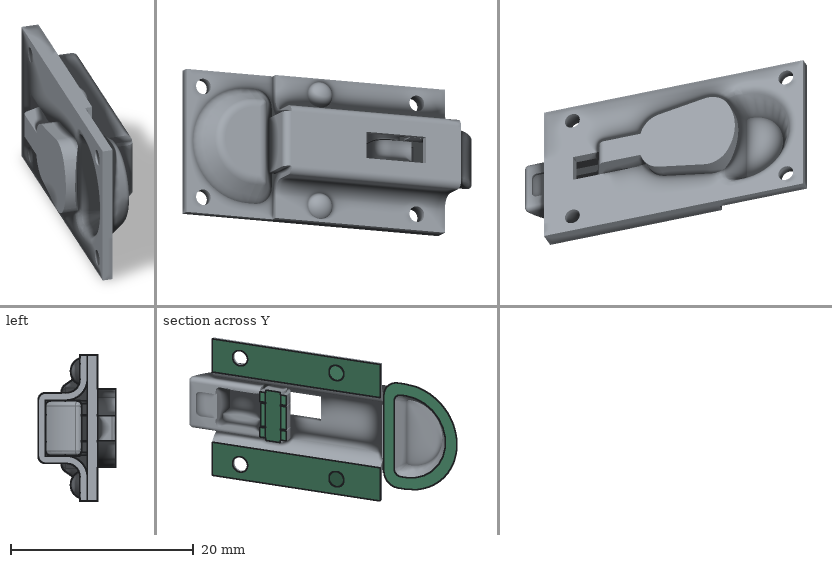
import cadquery as cq
import math


PLATE_LENGTH = 30.3
PLATE_HEIGHT = 16.0
PLATE_THICKNESS = 1.13
FIXING_HOLE_DIAMETER = 1.73
FIXING_HOLE_XS = (3.33, 28.27)
FASTENER_Z = 6.2
SLOT_LEFT = 3.4
SLOT_RIGHT = 11.2
SLOT_HALF_HEIGHT = 1.45

CUP_CENTRE_X = 23.08
CUP_RIM_RADIUS = 6.43
CUP_LEFT = 20.18
CUP_CORNER_RADIUS = 2.03
CUP_DEPTH = 2.85
CUP_WALL_ANGLE = 35.0
CUP_FLOOR_RADIUS = 3.8
CUP_FLOOR_LEFT = 22.68
CUP_FLOOR_CORNER_RADIUS = 0.23

SHEET = 0.8
BRACKET_LENGTH = 20.08
BRACKET_BACK = 6.5
CHANNEL_HALF_HEIGHT = 3.85
FLANGE_BEND_RADIUS = 1.45
BRACKET_WINDOW_LEFT = 4.15
TAB_BEND_RADIUS = 0.75

BOLT_FRONT = 1.73
BOLT_BACK = 5.65
BOLT_HALF_HEIGHT = 2.95
BOLT_RIGHT = 5.6
BOLT_TIP_X = -3.23
BOLT_CURVE_END_X = -0.05
BOLT_NOSE_MIDDLE = (-1.73, 4.3)
BOLT_EDGE_RADIUS = 0.5
BOLT_POCKET_LEFT = -2.03
BOLT_POCKET_DEPTH = 0.3
BOLT_RECESS_LEFT = 0.33
BOLT_RECESS_HALF_HEIGHT = 2.33
BOLT_RECESS_FLOOR = 3.65

LEVER_THICKNESS = 2.0
ARM_HALF_HEIGHT = 1.35
ARM_FACE_X = 6.43
ARM_FACE_ANGLE = 22.7
ARM_EDGE_RADIUS = 0.7
SHOULDER_X = 12.05
SHOULDER_RADIUS = 2.7
FLANK_START = (14.1, 3.35)
FLANK_END = (19.48, 4.25)
HEAD_CORNER_END = (22.18, 3.05)
HEAD_END_X = 23.08
HEAD_RELIEF_X = 21.1
HEAD_RELIEF_DEPTH = 0.93
HUB_RADIUS = 1.6

PIN_X = 7.25
PIN_RADIUS = 1.2
PIN_HALF_LENGTH = 2.95
LUG_OUTER_Z = 2.65

RIVET_X = 14.82
RIVET_DIAMETER = 1.7
RIVET_HEAD_RADIUS = 1.45
RIVET_HEAD_HEIGHT = 1.03

PLATE_BACK = PLATE_THICKNESS
FLANGE_BACK = PLATE_BACK + SHEET
CHANNEL_BACK = BRACKET_BACK - SHEET
PIN_Y = PLATE_BACK + PIN_RADIUS


def facing_back(y):
    """Workplane at depth y whose normal points to +Y."""
    return cq.Workplane(cq.Plane(origin=(0, y, 0), xDir=(1, 0, 0), normal=(0, 1, 0)))


def block(x_range, y_range, z_range):
    """Axis-aligned box between the given limits."""
    sizes = [high - low for low, high in (x_range, y_range, z_range)]
    lows = (x_range[0], y_range[0], z_range[0])
    return cq.Workplane("XY").box(*sizes, centered=False).translate(lows)


def bar_along_z(x, y, radius, half_length):
    """Round bar along Z, centred on Z = 0."""
    return cq.Workplane("XY").center(x, y).circle(radius).extrude(half_length, both=True)


def cup_outline(y, left, radius, corner):
    """D-shaped wire at depth y: half a circle on the right, two rounded corners on the left."""
    mitre = corner * (1 - math.sqrt(0.5))
    return (
        facing_back(y)
        .moveTo(CUP_CENTRE_X, -radius)
        .threePointArc((CUP_CENTRE_X + radius, 0), (CUP_CENTRE_X, radius))
        .lineTo(left + corner, radius)
        .threePointArc((left + mitre, radius - mitre), (left, radius - corner))
        .lineTo(left, corner - radius)
        .threePointArc((left + mitre, mitre - radius), (left + corner, -radius))
        .close()
        .wire()
        .val()
    )


def tapered_cup(y_start, start, y_end, end):
    """Solid with straight sloping walls between two cup outlines."""
    wires = [cup_outline(y_start, *start), cup_outline(y_end, *end)]
    return cq.Workplane(cq.Solid.makeLoft(wires, True))


def make_cup_shell():
    """Outside of the finger cup, behind the plate."""
    inset = CUP_DEPTH * math.tan(math.radians(CUP_WALL_ANGLE))
    base = (CUP_LEFT, CUP_RIM_RADIUS, CUP_CORNER_RADIUS)
    top = (CUP_LEFT + inset, CUP_RIM_RADIUS - inset, CUP_CORNER_RADIUS - inset)
    shell = tapered_cup(PLATE_BACK, base, PLATE_BACK + CUP_DEPTH, top)
    return shell.faces(">Y").edges().fillet(PLATE_THICKNESS)


def make_cup_cavity():
    """Hollow of the finger cup, from the plate's front face to the cup floor."""
    spread = CUP_DEPTH * math.tan(math.radians(CUP_WALL_ANGLE))
    lip = CUP_RIM_RADIUS - CUP_FLOOR_RADIUS - spread
    mouth = (CUP_FLOOR_LEFT - spread, CUP_FLOOR_RADIUS + spread, CUP_CORNER_RADIUS - lip)
    floor = (CUP_FLOOR_LEFT, CUP_FLOOR_RADIUS, CUP_FLOOR_CORNER_RADIUS)
    return tapered_cup(0, mouth, CUP_DEPTH, floor)


def make_lugs():
    """Two round-topped lugs on the back of the plate, one on each side of the lever."""
    lugs = bar_along_z(PIN_X, PIN_Y, HUB_RADIUS, LUG_OUTER_Z)
    lugs = lugs.union(
        block(
            (PIN_X - HUB_RADIUS, PIN_X + HUB_RADIUS),
            (PLATE_BACK, PIN_Y),
            (-LUG_OUTER_Z, LUG_OUTER_Z),
        )
    )
    return lugs.intersect(
        block((0, PLATE_LENGTH), (PLATE_BACK, BRACKET_BACK), (-PLATE_HEIGHT, PLATE_HEIGHT))
    )


def make_plate():
    """Face plate with its finger cup, slot, fixing holes and lugs."""
    plate = block((0, PLATE_LENGTH), (0, PLATE_THICKNESS), (-PLATE_HEIGHT / 2, PLATE_HEIGHT / 2))
    plate = plate.union(make_cup_shell()).cut(make_cup_cavity())
    lip_box = cq.selectors.BoxSelector(
        (CUP_LEFT - 0.33, -0.03, -CUP_RIM_RADIUS - 0.33),
        (CUP_CENTRE_X + CUP_RIM_RADIUS + 0.33, 0.03, CUP_RIM_RADIUS + 0.33),
    )
    plate = plate.edges(lip_box).fillet(PLATE_THICKNESS)
    plate = plate.union(make_lugs())
    plate = plate.cut(
        block((SLOT_LEFT, SLOT_RIGHT), (0, BRACKET_BACK), (-SLOT_HALF_HEIGHT, SLOT_HALF_HEIGHT))
    )
    fixing_points = [(x, z) for x in FIXING_HOLE_XS for z in (-FASTENER_Z, FASTENER_Z)]
    plate = plate.cut(
        facing_back(0).pushPoints(fixing_points).circle(FIXING_HOLE_DIAMETER / 2).extrude(PLATE_BACK)
    )
    plate = plate.cut(make_rivet_shanks())
    return plate.cut(make_pin())


def make_bracket(plate):
    """Top-hat channel with two flanges on the plate and a tab closing its right end."""
    arc_out = FLANGE_BEND_RADIUS * (1 - math.sqrt(0.5))
    big_bend = FLANGE_BEND_RADIUS + SHEET
    arc_in = big_bend * (1 - math.sqrt(0.5))
    inner = CHANNEL_HALF_HEIGHT - SHEET
    half = (
        cq.Workplane("YZ")
        .moveTo(BRACKET_BACK, 0)
        .lineTo(BRACKET_BACK, CHANNEL_HALF_HEIGHT - SHEET)
        .radiusArc((BRACKET_BACK - SHEET, CHANNEL_HALF_HEIGHT), -SHEET)
        .lineTo(FLANGE_BACK + FLANGE_BEND_RADIUS, CHANNEL_HALF_HEIGHT)
        .threePointArc(
            (FLANGE_BACK + arc_out, CHANNEL_HALF_HEIGHT + arc_out),
            (FLANGE_BACK, CHANNEL_HALF_HEIGHT + FLANGE_BEND_RADIUS),
        )
        .lineTo(FLANGE_BACK, PLATE_HEIGHT / 2)
        .lineTo(PLATE_BACK, PLATE_HEIGHT / 2)
        .lineTo(PLATE_BACK, inner + big_bend)
        .threePointArc((PLATE_BACK + arc_in, inner + arc_in), (PLATE_BACK + big_bend, inner))
        .lineTo(CHANNEL_BACK, inner)
        .lineTo(CHANNEL_BACK, 0)
        .close()
        .extrude(BRACKET_LENGTH)
    )
    bracket = half.union(half.mirror("XY"))
    tab = block((BRACKET_LENGTH, BRACKET_LENGTH + SHEET), (FLANGE_BACK, BRACKET_BACK), (-inner, inner))
    tab = tab.edges(">X and >Y").fillet(TAB_BEND_RADIUS)
    bracket = bracket.union(tab)
    bracket = bracket.cut(
        block(
            (BRACKET_WINDOW_LEFT, SLOT_RIGHT),
            (CHANNEL_BACK, BRACKET_BACK),
            (-SLOT_HALF_HEIGHT, SLOT_HALF_HEIGHT),
        )
    )
    fixing_points = [(FIXING_HOLE_XS[0], z) for z in (-FASTENER_Z, FASTENER_Z)]
    bracket = bracket.cut(
        facing_back(PLATE_BACK).pushPoints(fixing_points).circle(FIXING_HOLE_DIAMETER / 2).extrude(SHEET)
    )
    bracket = bracket.cut(make_rivet_shanks())
    return bracket.cut(plate)


def make_bolt():
    """Sliding bolt with a curved nose, a shallow front pocket and a recessed fork around the lever."""
    bolt = (
        cq.Workplane("XY")
        .workplane(offset=-BOLT_HALF_HEIGHT)
        .moveTo(BOLT_RIGHT, BOLT_FRONT)
        .lineTo(BOLT_TIP_X, BOLT_FRONT)
        .threePointArc(BOLT_NOSE_MIDDLE, (BOLT_CURVE_END_X, BOLT_BACK))
        .lineTo(BOLT_RIGHT, BOLT_BACK)
        .close()
        .extrude(2 * BOLT_HALF_HEIGHT)
    )
    bolt = bolt.edges("<X").fillet(BOLT_EDGE_RADIUS)
    bolt = bolt.faces("<Z or >Z").edges("not >X").fillet(BOLT_EDGE_RADIUS)
    pocket = block(
        (BOLT_POCKET_LEFT, BOLT_RECESS_LEFT),
        (BOLT_FRONT, BOLT_FRONT + BOLT_POCKET_DEPTH),
        (-SLOT_HALF_HEIGHT, SLOT_HALF_HEIGHT),
    )
    pocket = pocket.edges("|Y and <X").fillet(BOLT_EDGE_RADIUS)
    recess = block(
        (BOLT_RECESS_LEFT, BOLT_RIGHT),
        (BOLT_FRONT, BOLT_RECESS_FLOOR),
        (-BOLT_RECESS_HALF_HEIGHT, BOLT_RECESS_HALF_HEIGHT),
    )
    recess = recess.edges("|Y and <X").fillet(BOLT_EDGE_RADIUS)
    fork_slot = block(
        (BOLT_RECESS_LEFT, BOLT_RIGHT), (BOLT_FRONT, BOLT_BACK), (-SLOT_HALF_HEIGHT, SLOT_HALF_HEIGHT)
    )
    return bolt.cut(pocket).cut(recess).cut(fork_slot)


def make_lever_plan():
    """Keyhole outline of the lever, extruded through its whole depth."""
    arm_left = ARM_FACE_X - PIN_Y - HUB_RADIUS
    end_depth = HEAD_END_X - HEAD_CORNER_END[0]
    end_radius = (end_depth**2 + HEAD_CORNER_END[1] ** 2) / (2 * end_depth)
    half = (
        facing_back(-LEVER_THICKNESS)
        .moveTo(arm_left, 0)
        .lineTo(arm_left, ARM_HALF_HEIGHT)
        .lineTo(SHOULDER_X, ARM_HALF_HEIGHT)
        .radiusArc(FLANK_START, SHOULDER_RADIUS)
        .lineTo(*FLANK_END)
        .tangentArcPoint(HEAD_CORNER_END, relative=False)
        .radiusArc((HEAD_END_X, 0), end_radius)
        .close()
        .extrude(LEVER_THICKNESS + PIN_Y + HUB_RADIUS)
    )
    return half.union(half.mirror("XY"))


def make_lever():
    """Thumb lever: a head on the plate and an arm through the slot, pivoting on the pin."""
    slope = math.tan(math.radians(ARM_FACE_ANGLE))
    arm_back = PIN_Y + HUB_RADIUS
    half_arc = HUB_RADIUS * math.sqrt(0.5)
    side = (
        cq.Workplane("XY")
        .moveTo(ARM_FACE_X + slope * LEVER_THICKNESS, -LEVER_THICKNESS)
        .lineTo(HEAD_END_X, -LEVER_THICKNESS)
        .lineTo(HEAD_END_X, -HEAD_RELIEF_DEPTH)
        .lineTo(HEAD_RELIEF_X, 0)
        .lineTo(PIN_X + HUB_RADIUS, 0)
        .lineTo(PIN_X + HUB_RADIUS, PIN_Y)
        .threePointArc((PIN_X + half_arc, PIN_Y + half_arc), (PIN_X, arm_back))
        .lineTo(ARM_FACE_X - slope * arm_back, arm_back)
        .close()
        .extrude(FLANK_END[1] * 2, both=True)
    )
    front_edge = cq.selectors.NearestToPointSelector(
        (ARM_FACE_X + slope * LEVER_THICKNESS, -LEVER_THICKNESS, 0)
    )
    side = side.edges("|Z").edges(front_edge).fillet(ARM_EDGE_RADIUS)
    return make_lever_plan().intersect(side).cut(make_pin())


def make_pin():
    """Pivot pin of the lever."""
    return bar_along_z(PIN_X, PIN_Y, PIN_RADIUS, PIN_HALF_LENGTH)


def make_rivet_shank(z):
    """Rivet shank through the plate and the bracket flange."""
    return facing_back(0).center(RIVET_X, -z).circle(RIVET_DIAMETER / 2).extrude(FLANGE_BACK)


def make_rivet_shanks():
    """Both rivet shanks, for cutting their holes."""
    return make_rivet_shank(FASTENER_Z).add(make_rivet_shank(-FASTENER_Z)).combine()


def make_rivet(z, bracket):
    """Rivet flush with the plate's front, with a domed head on the bracket flange."""
    dome_radius = (RIVET_HEAD_RADIUS**2 + RIVET_HEAD_HEIGHT**2) / (2 * RIVET_HEAD_HEIGHT)
    dome_centre_y = FLANGE_BACK + RIVET_HEAD_HEIGHT - dome_radius
    dome = cq.Workplane("XY").sphere(dome_radius).translate((RIVET_X, dome_centre_y, z))
    behind_flange = facing_back(FLANGE_BACK).center(RIVET_X, -z).circle(2 * dome_radius).extrude(BRACKET_BACK)
    head = dome.intersect(behind_flange)
    return make_rivet_shank(z).union(head).cut(bracket)


plate = make_plate()
bracket = make_bracket(plate)
bolt = make_bolt()
lever = make_lever()
pin = make_pin()
rivets = [make_rivet(z, bracket) for z in (-FASTENER_Z, FASTENER_Z)]

result = cq.Compound.makeCompound(
    [
        plate.val(),
        bracket.val(),
        bolt.val(),
        lever.val(),
        pin.val(),
        *[rivet.val() for rivet in rivets],
    ]
)